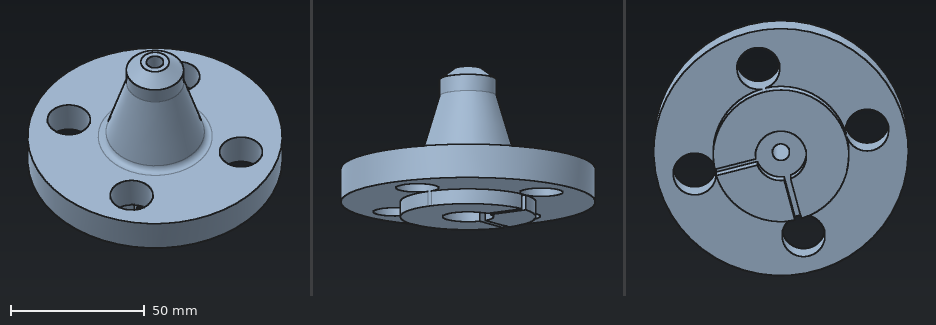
import cadquery as cq

flange_diameter = 95.2
flange_thickness = 12.7

face_diameter = 50.75
face_height = 5.6
recess_diameter = 19.0

slot_width = 2.5
slot_directions = (180, 270)

bolt_count = 4
bolt_circle_diameter = 66.7
bolt_hole_diameter = 16.0

total_height = 56.4
neck_base_diameter = 38.1
neck_fillet_radius = 3.0
collar_diameter = 21.4
collar_height = 6.1
bevel_height = 4.2
weld_end_diameter = 10.6
bore_diameter = 6.4

flange_top = face_height + flange_thickness
collar_top = total_height - bevel_height
collar_bottom = collar_top - collar_height


def make_cylinder(diameter, height):
    """Upright cylinder on the Z axis, standing on the bottom plane."""
    return cq.Workplane("XY").circle(diameter / 2).extrude(height)


def make_neck():
    """Revolved neck: cone, straight collar and bevelled end, standing on the disc."""
    half_profile = [
        (0, flange_top),
        (neck_base_diameter / 2, flange_top),
        (collar_diameter / 2, collar_bottom),
        (collar_diameter / 2, collar_top),
        (weld_end_diameter / 2, total_height),
        (0, total_height),
    ]
    axis_start = (0, 0, 0)
    axis_end = (0, 1, 0)
    return cq.Workplane("XZ").polyline(half_profile).close().revolve(360, axis_start, axis_end)


def make_body():
    """Raised face, disc and neck, with the neck blended into the disc."""
    disc = make_cylinder(flange_diameter, flange_thickness).translate((0, 0, face_height))
    body = make_cylinder(face_diameter, face_height).union(disc).union(make_neck())
    disc_top_face = cq.selectors.NearestToPointSelector((flange_diameter / 2, 0, flange_top))
    smallest_circle = cq.selectors.RadiusNthSelector(0)
    return body.faces(disc_top_face).edges(smallest_circle).fillet(neck_fillet_radius)


def make_bolt_holes():
    """Cylinders spaced evenly on the bolt circle, the first one on +X."""
    pattern = cq.Workplane("XY").polarArray(bolt_circle_diameter / 2, 0, 360, bolt_count)
    return pattern.circle(bolt_hole_diameter / 2).extrude(flange_top)


def make_slot(direction):
    """Slot from the axis out to the rim, as deep as the raised face is high."""
    slot_length = face_diameter / 2
    slot = cq.Workplane("XY").box(slot_length, slot_width, face_height, centered=(False, True, False))
    return slot.rotate((0, 0, 0), (0, 0, 1), direction)


result = make_body().cut(make_bolt_holes())
result = result.cut(make_cylinder(bore_diameter, total_height))
result = result.cut(make_cylinder(recess_diameter, face_height))
for direction in slot_directions:
    result = result.cut(make_slot(direction))